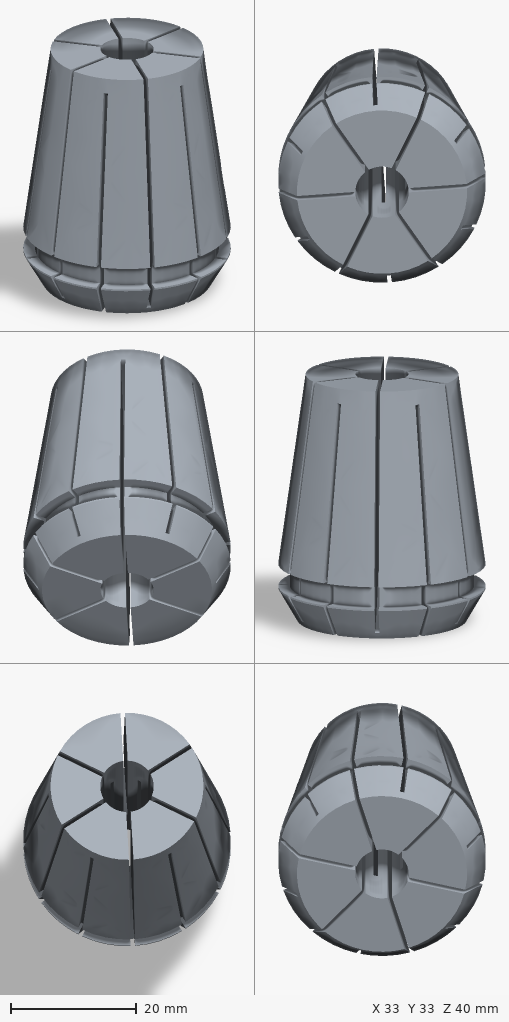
import cadquery as cq
import math

height = 40.0
outer_diameter = 33.0
outer_radius = outer_diameter / 2
bore_radius = 4.25

nose_base_radius = 13.5
nose_cone_top = 5.15
nose_top = 5.45

groove_radius = 14.65
groove_top = 9.05
taper_half_angle = 8.0

slots_per_end = 6
slot_width = 0.7
saw_radius = 20.0
top_saw_centre = (20.8, 19.9)
bottom_saw_centre = (21.5, 19.75)
slot_inner_radius = bore_radius / 2
slot_overshoot = 2.0


def make_body():
    """Revolve the half section of the unslotted collet, bore included."""
    taper_length = height - groove_top
    top_radius = outer_radius - taper_length * math.tan(math.radians(taper_half_angle))
    half_section = [
        (bore_radius, 0),
        (nose_base_radius, 0),
        (outer_radius, nose_cone_top),
        (outer_radius, nose_top),
        (groove_radius, nose_top),
        (groove_radius, groove_top),
        (outer_radius, groove_top),
        (top_radius, height),
        (bore_radius, height),
    ]
    return cq.Workplane("XZ").polyline(half_section).close().revolve(360, (0, 0), (0, 1))


def make_slot(saw_centre, from_top):
    """Slot along +X, open at one end face, with the round floor left by the saw."""
    centre_r, centre_z = saw_centre
    floor_side = -1 if from_top else 1
    open_z = height + slot_overshoot if from_top else -slot_overshoot

    def floor_point(r):
        return (r, centre_z + floor_side * math.sqrt(saw_radius**2 - (r - centre_r) ** 2))

    middle_r = (slot_inner_radius + centre_r) / 2
    return (
        cq.Workplane("XZ")
        .moveTo(slot_inner_radius, open_z)
        .lineTo(*floor_point(slot_inner_radius))
        .threePointArc(floor_point(middle_r), floor_point(centre_r))
        .lineTo(centre_r, open_z)
        .close()
        .extrude(slot_width / 2, both=True)
    )


def cut_slots(body, slot, start_angle):
    """Cut one slot repeatedly at equal spacing around the axis."""
    pitch = 360 / slots_per_end
    for index in range(slots_per_end):
        body = body.cut(slot.rotate((0, 0, 0), (0, 0, 1), start_angle + index * pitch))
    return body


result = make_body()
result = cut_slots(result, make_slot(top_saw_centre, from_top=True), 0)
result = cut_slots(result, make_slot(bottom_saw_centre, from_top=False), 180 / slots_per_end)